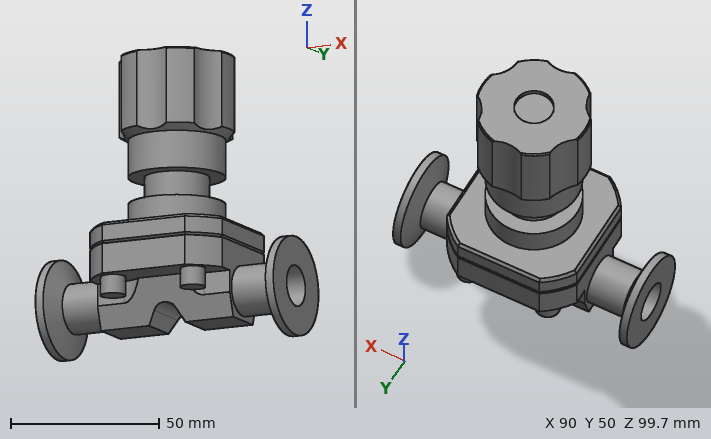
import cadquery as cq
import math

overall_length = 90.0
ferrule_diameter = 34.0
ferrule_rim = 2.95
ferrule_angle = 20.0
tube_diameter = 17.3
bore_diameter = 14.0
bore_depth = 35.0

flange_width = 50.0
flange_corner_diameter = 59.0
flange_bottom = 5.4
flange_top = 15.7
bonnet_top = 23.1
bonnet_chamfer = 1.0
seam_chamfer = 0.9

body_bottom = -10.2
body_bottom_width = 14.6
body_draft = 18.5
arch_diameter = 9.5
arch_top = -3.05
arch_side_angle = 30.0

bolt_diameter = 8.5
bolt_bottom = -1.0
bolt_x = 15.1
bolt_y = 18.0
pocket_radius = 10.5
pocket_wall_y = 10.0

collar_diameter = 33.0
collar_top = 32.3
stem_diameter = 22.0
hub_bottom = 41.7
hub_top = 54.5
knob_diameter = 40.0
knob_top = 82.7
knob_cone_angle = 30.0
knob_top_chamfer = 0.5
flute_count = 6
flute_radius = 11.0
flute_root_radius = 17.7
first_flute_angle = 90.0
recess_diameter = 13.5
recess_depth = 1.5


def tangent(degrees):
    return math.tan(math.radians(degrees))


def z_cylinder(diameter, bottom, top):
    return cq.Workplane("XY").workplane(offset=bottom).circle(diameter / 2).extrude(top - bottom)


def flange_block(bottom, top):
    """Square block whose corners are rounded by a large circle about the stem axis."""
    base = cq.Workplane("XY").workplane(offset=bottom)
    square = base.rect(flange_width, flange_width).extrude(top - bottom)
    return square.intersect(z_cylinder(flange_corner_diameter, bottom, top))


def make_bonnet():
    """Bonnet plate, chamfered on top and undercut along the seam with the body flange."""
    plate = flange_block(flange_top, bonnet_top)
    plate = plate.faces(">Z").chamfer(bonnet_chamfer)
    return plate.faces("<Z").chamfer(seam_chamfer)


def make_pocket(side_x, side_y):
    """Bolt clearance: a round end in line with the bolt, open through the body's end and side."""
    height = flange_bottom - body_bottom
    center_y = side_y * (pocket_wall_y + pocket_radius)
    base = cq.Workplane("XY").workplane(offset=body_bottom)
    round_end = base.center(side_x * bolt_x, center_y).circle(pocket_radius).extrude(height)
    run_out_length = flange_width / 2 - bolt_x
    run_out_x = side_x * (bolt_x + run_out_length / 2)
    run_out = base.center(run_out_x, center_y).rect(run_out_length, 2 * pocket_radius).extrude(height)
    return round_end.union(run_out)


def make_arch():
    """Arch with a round crown and straight flanks tangent to it, cut along Y."""
    radius = arch_diameter / 2
    angle = math.radians(arch_side_angle)
    crown_z = arch_top - radius
    shoulder_x = radius * math.cos(angle)
    shoulder_z = crown_z + radius * math.sin(angle)
    foot_x = shoulder_x + (shoulder_z - body_bottom) * tangent(arch_side_angle)
    return (
        cq.Workplane("XZ")
        .moveTo(-foot_x, body_bottom)
        .lineTo(-shoulder_x, shoulder_z)
        .threePointArc((0, arch_top), (shoulder_x, shoulder_z))
        .lineTo(foot_x, body_bottom)
        .close()
        .extrude(flange_width / 2, both=True)
    )


def make_lower_body():
    """Wedge that widens upward to the flange, relieved at the bolts and under the weir."""
    bottom_y = body_bottom_width / 2
    top_y = bottom_y + (flange_bottom - body_bottom) * tangent(body_draft)
    body = (
        cq.Workplane("YZ")
        .moveTo(-bottom_y, body_bottom)
        .lineTo(bottom_y, body_bottom)
        .lineTo(top_y, flange_bottom)
        .lineTo(-top_y, flange_bottom)
        .close()
        .extrude(flange_width / 2, both=True)
    )
    for side_x in (-1, 1):
        for side_y in (-1, 1):
            body = body.cut(make_pocket(side_x, side_y))
    return body.cut(make_arch())


def make_bolts():
    return (
        cq.Workplane("XY")
        .workplane(offset=bolt_bottom)
        .rect(2 * bolt_x, 2 * bolt_y, forConstruction=True)
        .vertices()
        .circle(bolt_diameter / 2)
        .extrude(flange_bottom - bolt_bottom)
    )


def make_pipe_end(side):
    """Tube with a clamp ferrule, revolved about X on the given side of the body."""
    tube_radius = tube_diameter / 2
    ferrule_radius = ferrule_diameter / 2
    end_x = overall_length / 2
    rim_x = end_x - ferrule_rim
    cone_x = rim_x - (ferrule_radius - tube_radius) * tangent(ferrule_angle)
    inner_x = flange_width / 2
    outline = [
        (side * inner_x, 0),
        (side * inner_x, tube_radius),
        (side * cone_x, tube_radius),
        (side * rim_x, ferrule_radius),
        (side * end_x, ferrule_radius),
        (side * end_x, 0),
    ]
    return cq.Workplane("XY").polyline(outline).close().revolve(360, (0, 0, 0), (1, 0, 0))


def make_bore(side):
    start = cq.Workplane("YZ").workplane(offset=side * overall_length / 2)
    return start.circle(bore_diameter / 2).extrude(-side * bore_depth)


def make_knob():
    """Fluted knob with a coned underside and a round recess on top."""
    knob_radius = knob_diameter / 2
    hub_radius = collar_diameter / 2
    cone_top = hub_top + (knob_radius - hub_radius) * tangent(knob_cone_angle)
    outline = [
        (0, hub_top),
        (hub_radius, hub_top),
        (knob_radius, cone_top),
        (knob_radius, knob_top - knob_top_chamfer),
        (knob_radius - knob_top_chamfer, knob_top),
        (0, knob_top),
    ]
    knob = cq.Workplane("XZ").polyline(outline).close().revolve(360, (0, 0, 0), (0, 1, 0))
    flutes = (
        cq.Workplane("XY")
        .workplane(offset=hub_top)
        .polarArray(flute_root_radius + flute_radius, first_flute_angle, 360, flute_count)
        .circle(flute_radius)
        .extrude(knob_top - hub_top)
    )
    recess = z_cylinder(recess_diameter, knob_top - recess_depth, knob_top)
    return knob.cut(flutes).cut(recess)


result = flange_block(flange_bottom, flange_top).union(make_bonnet())
result = result.union(make_lower_body()).union(make_bolts())
result = result.union(z_cylinder(collar_diameter, bonnet_top, collar_top))
result = result.union(z_cylinder(stem_diameter, collar_top, hub_bottom))
result = result.union(z_cylinder(collar_diameter, hub_bottom, hub_top))
result = result.union(make_knob())
for end_side in (-1, 1):
    result = result.union(make_pipe_end(end_side))
for end_side in (-1, 1):
    result = result.cut(make_bore(end_side))